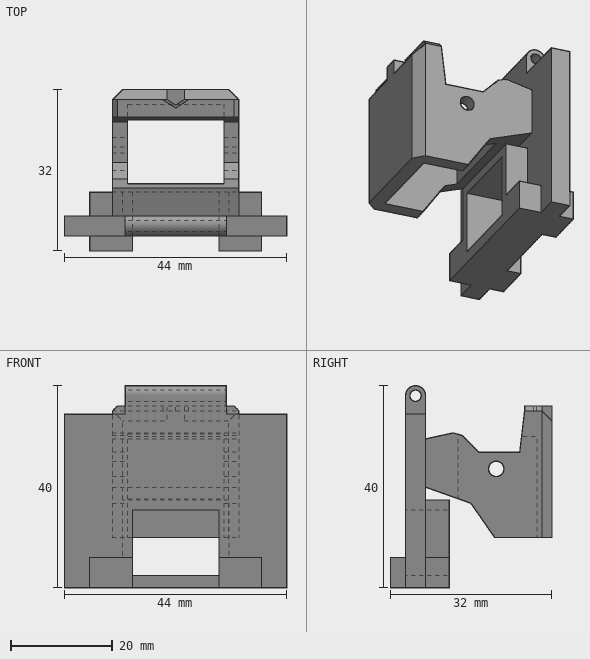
import cadquery as cq


plate_width = 44.0
plate_thickness = 4.0
plate_height = 34.35
overall_height = 40.0
tongue_width = 20.0
hinge_radius = plate_thickness / 2
hinge_hole_diameter = 2.2
hinge_y = plate_thickness / 2
hinge_z = overall_height - hinge_radius

feet_width = 34.0
feet_height = 6.05
front_foot_depth = 3.0
rear_block_depth = 4.65
passage_width = 17.05
passage_floor = 2.45
passage_top = 15.45
frame_wall = 2.0
frame_width = passage_width + 2 * frame_wall
frame_height = passage_top + frame_wall

bracket_width = 25.0
bracket_back = 29.0
bracket_bottom = 9.95
bracket_top = 36.0
shelf_z = 26.85
corner_bevel = 2.02
top_bevel = 0.95
window_width = 19.0
window_front = 10.4
recess_back = 26.0
recess_ceiling = 29.9
shelf_front = 14.5
shelf_back = 22.55
back_wall_front = 23.55
underside_root_z = 19.9
underside_knee = (12.95, 16.7)
bottom_front = 17.65
shoulder_back = (11.25, 30.15)
shoulder_peak = (9.45, 30.65)
shoulder_root_z = 29.5
pin_hole_diameter = 3.0
pin_y = 17.95
pin_z = 23.55

key_half_width = 1.7
key_point_length = 1.1
clearance_half_width = 2.55
clearance_point_length = 1.65

bevel_y = bracket_back - corner_bevel
step_z = bracket_top - top_bevel


def block(width, y_front, y_back, z_bottom, z_top):
    """Box centred on X between the given Y and Z limits."""
    return (
        cq.Workplane("XY")
        .box(width, y_back - y_front, z_top - z_bottom, centered=(True, False, False))
        .translate((0, y_front, z_bottom))
    )


def side_profile(width):
    """YZ sketch plane on the left side of a feature of this width centred on X."""
    return cq.Workplane("YZ").workplane(offset=-width / 2)


def cross_pin(y, z, diameter):
    """Full-width round cutter along X."""
    return side_profile(plate_width).center(y, z).circle(diameter / 2).extrude(plate_width)


def make_plate():
    plate = block(plate_width, 0, plate_thickness, 0, plate_height)
    tongue = block(tongue_width, 0, plate_thickness, plate_height, hinge_z)
    barrel = (
        side_profile(tongue_width).center(hinge_y, hinge_z).circle(hinge_radius)
        .extrude(tongue_width)
    )
    return plate.union(tongue).union(barrel).cut(cross_pin(hinge_y, hinge_z, hinge_hole_diameter))


def add_feet_and_passage(body):
    rear_end = plate_thickness + rear_block_depth
    feet = block(feet_width, -front_foot_depth, rear_end, 0, feet_height)
    frame = block(frame_width, plate_thickness, rear_end, 0, frame_height)
    passage = block(passage_width, -front_foot_depth, rear_end, 0, passage_top)
    floor = block(passage_width, 0, rear_end, 0, passage_floor)
    return body.union(feet).union(frame).cut(passage).union(floor)


def pointed_outline(half_width, point_length):
    """Pentagon prism reaching from the back face to a point on the top face."""
    return (
        cq.Workplane("XY").workplane(offset=step_z)
        .polyline([
            (-half_width, bracket_back),
            (-half_width, bevel_y),
            (0, bevel_y - point_length),
            (half_width, bevel_y),
            (half_width, bracket_back),
        ])
        .close()
        .extrude(top_bevel)
    )


def make_back_edge_cut():
    """Step and 45-degree slope along the back edge, leaving the pointed key standing."""
    slope = (
        side_profile(bracket_width)
        .polyline([
            (bevel_y, bracket_top),
            (bevel_y, step_z),
            (bracket_back, step_z - corner_bevel),
            (bracket_back, bracket_top),
        ])
        .close()
        .extrude(bracket_width)
    )
    clearance = pointed_outline(clearance_half_width, clearance_point_length)
    key = pointed_outline(key_half_width, key_point_length)
    key_root = block(2 * key_half_width, bevel_y, bracket_back, step_z - corner_bevel, step_z)
    return slope.union(clearance).cut(key).cut(key_root)


def make_bracket():
    bracket = (
        side_profile(bracket_width)
        .polyline([
            (plate_thickness, underside_root_z),
            underside_knee,
            (bottom_front, bracket_bottom),
            (bracket_back, bracket_bottom),
            (bracket_back, bracket_top),
            (back_wall_front, bracket_top),
            (back_wall_front, step_z),
            (shelf_back, shelf_z),
            (shelf_front, shelf_z),
            shoulder_back,
            shoulder_peak,
            (plate_thickness, shoulder_root_z),
        ])
        .close()
        .extrude(bracket_width)
    )
    bracket = bracket.edges("|Z and >Y").chamfer(corner_bevel)
    bracket = bracket.faces(">Z").edges("<X or >X").chamfer(top_bevel)
    shaft = block(window_width, window_front, shelf_front, 0, overall_height)
    recess = block(window_width, window_front, recess_back, 0, recess_ceiling)
    bracket = bracket.cut(shaft).cut(recess).cut(cross_pin(pin_y, pin_z, pin_hole_diameter))
    return bracket.cut(make_back_edge_cut())


result = add_feet_and_passage(make_plate()).union(make_bracket())